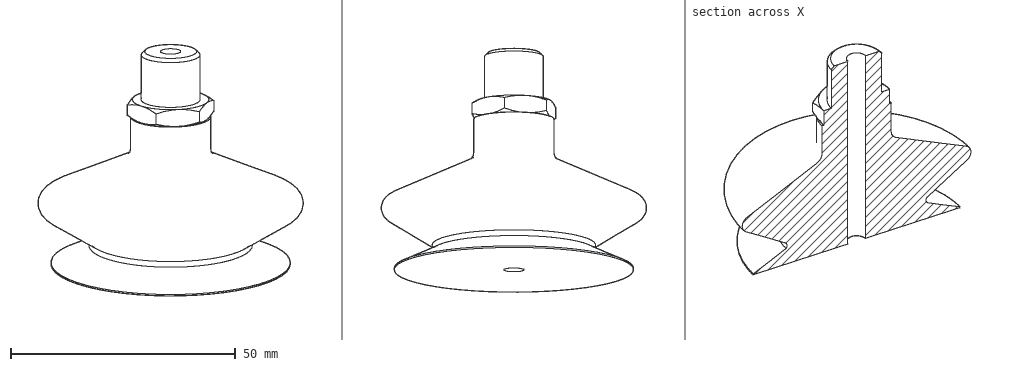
import cadquery as cq
import math

lip_radius = 26.6
lip_thickness = 0.35
neck_radius = 18.2
neck_bottom = 4.3
neck_middle = 4.95
neck_top = 5.6
neck_depth = 0.25
bulge_radius = 29.5
bulge_lower_radius = 28.5
bulge_bottom = 12.15
bulge_middle = 14.05
bulge_upper_radius = 28.2
bulge_top = 16.05
shoulder_radius = 10.45
shoulder_height = 24.35
collar_radius = 8.95
collar_bottom = 26.5

hex_bottom = 34.05
hex_height = 3.9
hex_across_flats = 17.0
hex_chamfer_angle = 30.0
stud_radius = 6.55
stud_chamfer = 0.75
total_height = 49.0
bore_radius = 2.25


def fillet_midpoint(upright_end, flared_end):
    """Midpoint of a concave arc that is vertical at its upright end and flares outward."""
    flare = flared_end[0] - upright_end[0]
    rise = flared_end[1] - upright_end[1]
    radius = (flare**2 + rise**2) / (2 * flare)
    half_sweep = math.asin(rise / radius) / 2
    return (
        upright_end[0] + radius * (1 - math.cos(half_sweep)),
        upright_end[1] + radius * math.sin(half_sweep),
    )


def bellows():
    """Solid of revolution with a thin lip, a neck, a rounded bulge and a collar."""
    waist = (neck_radius - neck_depth, neck_middle)
    neck_start = (neck_radius, neck_bottom)
    neck_end = (neck_radius, neck_top)
    shoulder = (shoulder_radius, shoulder_height)
    collar_foot = (collar_radius, collar_bottom)
    return (
        cq.Workplane("XZ")
        .lineTo(lip_radius, 0)
        .lineTo(lip_radius, lip_thickness)
        .lineTo(*neck_start)
        .threePointArc(fillet_midpoint(waist, neck_start), waist)
        .threePointArc(fillet_midpoint(waist, neck_end), neck_end)
        .lineTo(bulge_lower_radius, bulge_bottom)
        .threePointArc((bulge_radius, bulge_middle), (bulge_upper_radius, bulge_top))
        .lineTo(*shoulder)
        .threePointArc(fillet_midpoint(collar_foot, shoulder), collar_foot)
        .lineTo(collar_radius, hex_bottom)
        .lineTo(0, hex_bottom)
        .close()
        .revolve(360, (0, 0, 0), (0, 1, 0))
    )


def hexagon():
    """Hexagon with corners on X, its corners bevelled by cones above and below."""
    flat_radius = hex_across_flats / 2
    corner_radius = flat_radius / math.cos(math.pi / 6)
    bevel = (corner_radius - flat_radius) * math.tan(math.radians(hex_chamfer_angle))
    hex_top = hex_bottom + hex_height
    prism = (
        cq.Workplane("XY")
        .workplane(offset=hex_bottom)
        .polygon(6, 2 * corner_radius)
        .extrude(hex_height)
    )
    bevel_envelope = (
        cq.Workplane("XZ")
        .moveTo(0, hex_bottom)
        .lineTo(flat_radius, hex_bottom)
        .lineTo(corner_radius, hex_bottom + bevel)
        .lineTo(corner_radius, hex_top - bevel)
        .lineTo(flat_radius, hex_top)
        .lineTo(0, hex_top)
        .close()
        .revolve(360, (0, 0, 0), (0, 1, 0))
    )
    return prism.intersect(bevel_envelope)


def stud():
    """Round stud with a chamfered top, standing on the collar through the hexagon."""
    return (
        cq.Workplane("XY")
        .workplane(offset=hex_bottom)
        .circle(stud_radius)
        .extrude(total_height - hex_bottom)
        .faces(">Z")
        .chamfer(stud_chamfer)
    )


bore = cq.Workplane("XY").circle(bore_radius).extrude(total_height)
result = bellows().union(hexagon()).union(stud()).cut(bore)